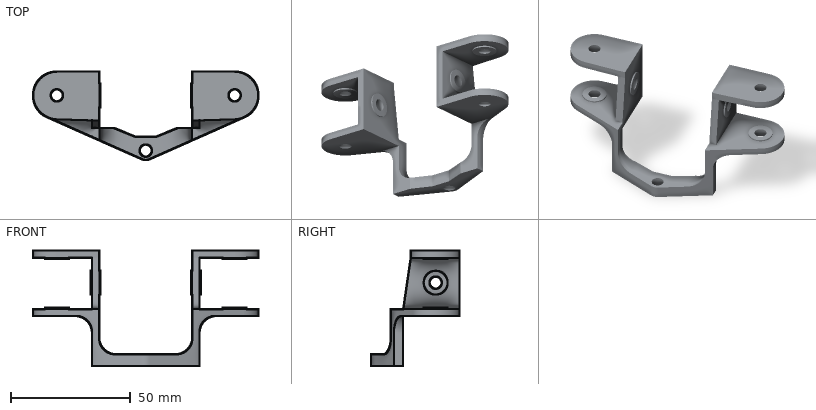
import cadquery as cq
import math

total_height = 48.3
eye_radius = 10.0
eye_x = 47 - eye_radius
eye_y = -eye_radius
hole_diameter = 5.0

wall_inner_x = 19.4
wall_thickness = 3.1
wall_outer_x = wall_inner_x + wall_thickness
wall_top_front_y = -20.4
wall_bottom_front_y = -23.5
wall_hole_z = 34.8

top_plate_thickness = 3.1
top_plate_bottom_z = total_height - top_plate_thickness
lower_plate_thickness = 2.9
lower_plate_top_z = 23.8
lower_plate_bottom_z = lower_plate_top_z - lower_plate_thickness

pad_diameter = 10.0
pad_height = 0.6

bridge_thickness = 5.0
bridge_fillet = 6.8
nose_radius = 3.95
nose_y = -33.0
bridge_back_bend_x = 13.4
bridge_back_flat_x = 4.3
bridge_back_flat_y = -27.2


def on_circle(x, y, radius, angle):
    """Point on a circle, at an angle in radians."""
    return (x + radius * math.cos(angle), y + radius * math.sin(angle))


eye_nose_distance = math.hypot(eye_x, eye_y - nose_y)
edge_angle = math.atan2(eye_y - nose_y, eye_x) - math.asin((eye_radius - nose_radius) / eye_nose_distance)
edge_normal = edge_angle - math.pi / 2
eye_edge_point = on_circle(eye_x, eye_y, eye_radius, edge_normal)
nose_edge_point = on_circle(0, nose_y, nose_radius, edge_normal)
nose_tip_y = nose_y - nose_radius


def lower_outline():
    """Right half of the lower plan, from the centre plane to the rounded ear."""
    return (
        cq.Workplane("XY")
        .moveTo(0, bridge_back_flat_y)
        .lineTo(bridge_back_flat_x, bridge_back_flat_y)
        .lineTo(bridge_back_bend_x, wall_bottom_front_y)
        .lineTo(wall_inner_x, wall_bottom_front_y)
        .lineTo(wall_inner_x, 0)
        .lineTo(eye_x, 0)
        .threePointArc((eye_x + eye_radius, eye_y), eye_edge_point)
        .lineTo(*nose_edge_point)
        .threePointArc(on_circle(0, nose_y, nose_radius, (edge_normal - math.pi / 2) / 2), (0, nose_tip_y))
        .close()
        .extrude(lower_plate_top_z)
    )


def lower_body():
    """Lower ear, strut and half bridge, cut to the plan outline."""
    ear = cq.Workplane("XY").box(
        eye_x + eye_radius - wall_inner_x, -nose_tip_y, lower_plate_thickness, centered=False
    ).translate((wall_inner_x, nose_tip_y, lower_plate_bottom_z))
    strut = (
        cq.Workplane("XZ", origin=(0, wall_bottom_front_y, 0))
        .lineTo(wall_outer_x, 0)
        .lineTo(wall_outer_x, lower_plate_bottom_z - bridge_fillet)
        .radiusArc((wall_outer_x + bridge_fillet, lower_plate_bottom_z), bridge_fillet)
        .lineTo(wall_outer_x + bridge_fillet, lower_plate_top_z)
        .lineTo(wall_inner_x, lower_plate_top_z)
        .lineTo(wall_inner_x, bridge_thickness + bridge_fillet)
        .radiusArc((wall_inner_x - bridge_fillet, bridge_thickness), bridge_fillet)
        .lineTo(0, bridge_thickness)
        .close()
        .extrude(wall_bottom_front_y - nose_tip_y)
    )
    return ear.union(strut).intersect(lower_outline())


def top_plate():
    """Upper ear, whose front edge leaves the wall and runs tangent to the eye."""
    dx = wall_outer_x - eye_x
    dy = wall_top_front_y - eye_y
    tangent_angle = math.atan2(dy, dx) + math.acos(eye_radius / math.hypot(dx, dy))
    return (
        cq.Workplane("XY", origin=(0, 0, top_plate_bottom_z))
        .moveTo(wall_inner_x, 0)
        .lineTo(eye_x, 0)
        .threePointArc((eye_x + eye_radius, eye_y), on_circle(eye_x, eye_y, eye_radius, tangent_angle))
        .lineTo(wall_outer_x, wall_top_front_y)
        .lineTo(wall_inner_x, wall_top_front_y)
        .close()
        .extrude(top_plate_thickness)
    )


def wall():
    """Upright wall with a sloping front edge."""
    return (
        cq.Workplane("YZ", origin=(wall_inner_x, 0, 0))
        .moveTo(0, lower_plate_bottom_z)
        .lineTo(wall_bottom_front_y, lower_plate_bottom_z)
        .lineTo(wall_bottom_front_y, lower_plate_top_z)
        .lineTo(wall_top_front_y, top_plate_bottom_z)
        .lineTo(0, top_plate_bottom_z)
        .close()
        .extrude(wall_thickness)
    )


def vertical_cylinder(x, y, diameter, bottom_z, height):
    return cq.Workplane("XY", origin=(x, y, bottom_z)).circle(diameter / 2).extrude(height)


def wall_cylinder(diameter, start_x, length):
    return cq.Workplane("YZ", origin=(start_x, eye_y, wall_hole_z)).circle(diameter / 2).extrude(length)


half = lower_body().union(wall()).union(top_plate())

half = half.union(vertical_cylinder(eye_x, eye_y, pad_diameter, lower_plate_top_z, pad_height))
half = half.union(vertical_cylinder(eye_x, eye_y, pad_diameter, top_plate_bottom_z - pad_height, pad_height))
padded_wall_start = wall_inner_x - pad_height
padded_wall_length = wall_thickness + 2 * pad_height
half = half.union(wall_cylinder(pad_diameter, padded_wall_start, padded_wall_length))

half = half.cut(vertical_cylinder(eye_x, eye_y, hole_diameter, 0, total_height))
half = half.cut(wall_cylinder(hole_diameter, padded_wall_start, padded_wall_length))

bracket = half.union(half.mirror("YZ"))
result = bracket.cut(vertical_cylinder(0, nose_y, hole_diameter, 0, bridge_thickness))